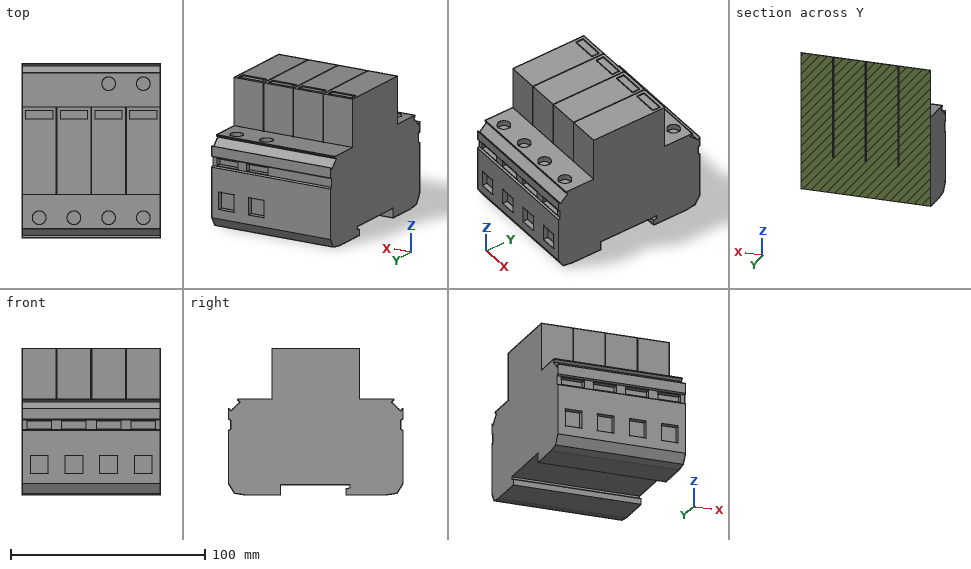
import cadquery as cq

WIDTH = 71.0
DEPTH = 89.8
HEIGHT = 75.5

MODULE_COUNT = 4
MODULE_WIDTH = 17.5
MODULE_DEPTH = 45.1
MODULE_BOTTOM = 20.0
MODULE_GAP = (WIDTH - MODULE_COUNT * MODULE_WIDTH) / (MODULE_COUNT - 1)
MODULE_PITCH = MODULE_WIDTH + MODULE_GAP

LABEL_WIDTH = 14.0
LABEL_LENGTH = 4.5
LABEL_DEPTH = 0.5
LABEL_MARGIN = (MODULE_WIDTH - LABEL_WIDTH) / 2

BASE_TOP = 49.5
SHELF_EDGE = 40.05
UPPER_LIP = (40.2, 48.9)
SHOULDER_TOP = (39.0, 47.9)
SHOULDER_BOTTOM = (43.55, 43.5)
LOWER_LIP_TOP = 44.6
LOWER_LIP_FLAT = 0.2
GROOVE_TOP = 39.15
GROOVE_BOTTOM = 33.2
GROOVE_DEPTH = 1.1
GROOVE_FLARE = 0.6
FOOT_SIDE_HEIGHT = 5.9
FOOT_CORNER = (41.85, 0.9)
FOOT_FLAT_END = 35.9

RAIL_FRONT = -18.05
RAIL_REAR = 17.6
RAIL_DEPTH = 5.3
HOOK_TIP = 15.5
HOOK_TIP_HEIGHT = 3.2
HOOK_ROOT_HEIGHT = 3.9

FRONT = -1
REAR = 1
FRONT_TERMINALS = (0, 1, 2, 3)
REAR_TERMINALS = (2, 3)
SCREW_DIAMETER = 7.0
SCREW_DEPTH = 3.2
SCREW_OFFSET = 34.5
MARKER_WIDTH = 12.7
MARKER_BOTTOM = 34.1
MARKER_TOP = 38.1
MARKER_DEPTH = 3.0
OPENING_WIDTH = 9.2
OPENING_BOTTOM = 11.05
OPENING_TOP = 20.5
OPENING_DEPTH = 3.0


def module_left(index):
    """X of the left side of a module."""
    return -WIDTH / 2 + index * MODULE_PITCH


def module_center(index):
    return module_left(index) + MODULE_WIDTH / 2


def block(x_range, y_range, z_range):
    """Axis-aligned box given by its limits."""
    size = [max(limits) - min(limits) for limits in (x_range, y_range, z_range)]
    corner = (min(x_range), min(y_range), min(z_range))
    return cq.Workplane("XY").box(*size, centered=False).translate(corner)


def end_outline():
    """Outline of one end as (distance from the middle, height), from the underside to the top."""
    outer = DEPTH / 2
    groove_floor = outer - GROOVE_DEPTH
    return [
        (FOOT_FLAT_END, 0),
        FOOT_CORNER,
        (outer, FOOT_SIDE_HEIGHT),
        (outer, GROOVE_BOTTOM),
        (groove_floor, GROOVE_BOTTOM + GROOVE_FLARE),
        (groove_floor, GROOVE_TOP - GROOVE_FLARE),
        (outer, GROOVE_TOP),
        (outer, LOWER_LIP_TOP),
        (outer - LOWER_LIP_FLAT, LOWER_LIP_TOP),
        SHOULDER_BOTTOM,
        SHOULDER_TOP,
        UPPER_LIP,
        (SHELF_EDGE, BASE_TOP),
    ]


def make_base():
    rear_end = end_outline()
    front_end = [(-y, z) for y, z in reversed(rear_end)]
    rail_slot = [
        (RAIL_FRONT, 0),
        (RAIL_FRONT, RAIL_DEPTH),
        (RAIL_REAR, RAIL_DEPTH),
        (RAIL_REAR, HOOK_ROOT_HEIGHT),
        (HOOK_TIP, HOOK_TIP_HEIGHT),
        (HOOK_TIP, 0),
    ]
    outline = rear_end + front_end + rail_slot
    return cq.Workplane("YZ").polyline(outline).close().extrude(WIDTH / 2, both=True)


def make_module_row():
    """Row of modules above the base."""
    half_depth = MODULE_DEPTH / 2
    return block((-WIDTH / 2, WIDTH / 2), (-half_depth, half_depth), (MODULE_BOTTOM, HEIGHT))


def make_module_gap(index):
    """Slit between a module and the next one, down to the module floor."""
    left = module_left(index) + MODULE_WIDTH
    half_depth = MODULE_DEPTH / 2
    return block((left, left + MODULE_GAP), (-half_depth, half_depth), (MODULE_BOTTOM, HEIGHT))


def make_label(index):
    left = module_left(index) + LABEL_MARGIN
    rear = MODULE_DEPTH / 2 - LABEL_MARGIN
    return block((left, left + LABEL_WIDTH), (rear - LABEL_LENGTH, rear), (HEIGHT - LABEL_DEPTH, HEIGHT))


def make_terminal(index, side):
    """Material removed for one terminal on the front or rear side."""
    center = module_center(index)
    outer = DEPTH / 2
    marker_floor = outer - GROOVE_DEPTH - MARKER_DEPTH
    opening_floor = outer - OPENING_DEPTH
    screw = (
        cq.Workplane("XY", origin=(center, side * SCREW_OFFSET, BASE_TOP))
        .circle(SCREW_DIAMETER / 2)
        .extrude(-SCREW_DEPTH)
    )
    marker = block(
        (center - MARKER_WIDTH / 2, center + MARKER_WIDTH / 2),
        (side * marker_floor, side * outer),
        (MARKER_BOTTOM, MARKER_TOP),
    )
    opening = block(
        (center - OPENING_WIDTH / 2, center + OPENING_WIDTH / 2),
        (side * opening_floor, side * outer),
        (OPENING_BOTTOM, OPENING_TOP),
    )
    return screw.union(marker).union(opening)


result = make_base().union(make_module_row())

for module in range(MODULE_COUNT - 1):
    result = result.cut(make_module_gap(module))

for module in range(MODULE_COUNT):
    result = result.cut(make_label(module))

for side, terminals in ((FRONT, FRONT_TERMINALS), (REAR, REAR_TERMINALS)):
    for terminal in terminals:
        result = result.cut(make_terminal(terminal, side))